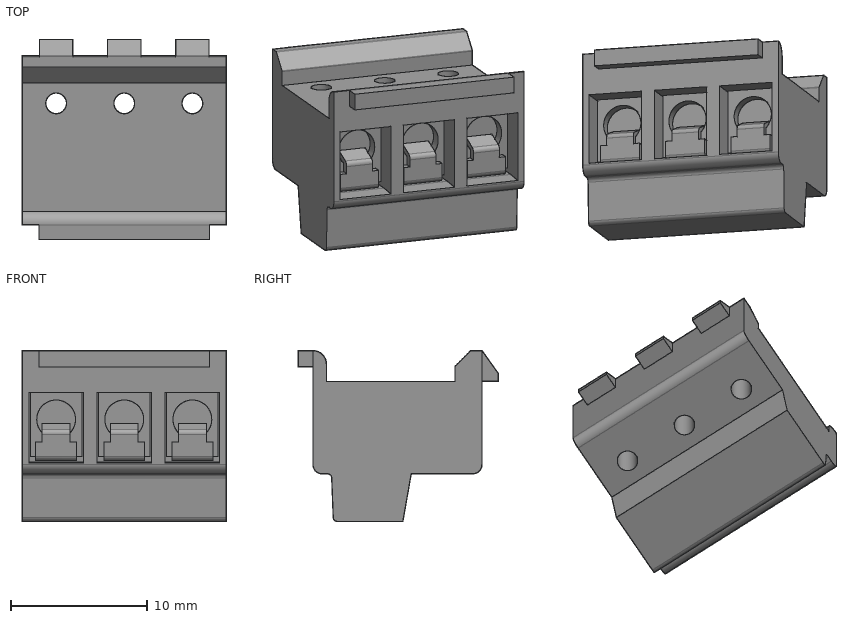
import cadquery as cq
import math


width = 15.0
height = 12.55
body_depth = 12.42
body_bottom_z = 3.5
deck_z = 10.29
bottom_corner_radius = 0.69

front_wall_thickness = 1.0
front_lip_width = 12.54
front_lip_depth = 1.08
front_lip_height = 1.2

rear_rail_thickness = 2.0
rear_rail_chamfer = 1.17
rail_edge_radius = 0.08
rail_inner_y = body_depth - rear_rail_thickness
rail_slope_top_y = rail_inner_y + rear_rail_chamfer
rail_slope_bottom_z = height - rear_rail_chamfer

foot_front_top_y = 1.36
foot_front_bottom_y = 1.5
foot_rear_bottom_y = 6.62
foot_rear_top_y = 7.23
foot_root_radius = 0.3
foot_toe_radius = 0.32

pole_count = 3
pole_pitch = width / pole_count
pole_centers = [(i - (pole_count - 1) / 2) * pole_pitch for i in range(pole_count)]

screw_hole_diameter = 1.5
screw_hole_y = 8.92

clip_width = 2.46
clip_depth = 1.2
clip_tip_height = 0.58
clip_edge_radius = 0.1

pocket_width = 4.0
pocket_depth = 2.75
pocket_top_z = 9.46
pocket_front_floor_z = 4.3
pocket_rear_floor_z = 4.38
pocket_ramp_depth = 1.44

block_width = 3.8
block_front_y = 1.8
block_bottom_z = 4.78
entry_diameter = 2.85
entry_z = 7.5

contact_front_y = 1.2
base_width = 3.0
base_bottom_z = 4.47
base_bottom_radius = 0.32
shoulder_z = 5.85
tongue_width = 2.05
tongue_end_z = 7.22
tongue_angle = 19.5
tongue_nose_radius = 0.39


def extrude_across(profile, x_center, span):
    """Extrude a closed Y-Z profile along X, centred on x_center."""
    return profile.extrude(span / 2, both=True).translate((x_center, 0, 0))


def make_box(x_center, span, y_start, y_end, z_start, z_end):
    """Box centred on x_center between the given Y and Z limits."""
    size = (span, y_end - y_start, z_end - z_start)
    return cq.Workplane("XY").box(*size, centered=(True, False, False)).translate((x_center, y_start, z_start))


def make_body():
    """Main profile with foot, front wall and rear rail, run over the full width."""
    profile = (
        cq.Workplane("YZ")
        .moveTo(0, body_bottom_z)
        .lineTo(0, height)
        .radiusArc((front_wall_thickness, height - front_wall_thickness), front_wall_thickness)
        .lineTo(front_wall_thickness, deck_z)
        .lineTo(rail_inner_y, deck_z)
        .lineTo(rail_inner_y, rail_slope_bottom_z)
        .lineTo(rail_slope_top_y, height)
        .lineTo(body_depth, height)
        .lineTo(body_depth, body_bottom_z)
        .lineTo(foot_rear_top_y, body_bottom_z)
        .lineTo(foot_rear_bottom_y, 0)
        .lineTo(foot_front_bottom_y, 0)
        .lineTo(foot_front_top_y, body_bottom_z)
        .close()
    )
    body = extrude_across(profile, 0, width)
    rounded_edges = [
        (0, body_bottom_z, bottom_corner_radius),
        (body_depth, body_bottom_z, bottom_corner_radius),
        (foot_front_top_y, body_bottom_z, foot_root_radius),
        (foot_front_bottom_y, 0, foot_toe_radius),
        (body_depth, height, rail_edge_radius),
        (rail_slope_top_y, height, rail_edge_radius),
        (rail_inner_y, rail_slope_bottom_z, rail_edge_radius),
    ]
    for y, z, radius in rounded_edges:
        body = body.edges(cq.selectors.NearestToPointSelector((0, y, z))).fillet(radius)
    return body


def make_front_lip():
    """Bar along the top of the front face."""
    return make_box(0, front_lip_width, -front_lip_depth, 0, height - front_lip_height, height)


def make_clip(x_center):
    """Wedge on the rear face, rooted in the rear rail and rounded where its slope meets the rail top."""
    root_y = rail_slope_top_y + rail_edge_radius
    profile = (
        cq.Workplane("YZ")
        .moveTo(root_y, deck_z)
        .lineTo(body_depth + clip_depth, deck_z)
        .lineTo(body_depth + clip_depth, deck_z + clip_tip_height)
        .lineTo(body_depth, height)
        .lineTo(root_y, height)
        .close()
    )
    clip = extrude_across(profile, x_center, clip_width)
    top_edge = cq.selectors.NearestToPointSelector((x_center, body_depth, height))
    return clip.edges(top_edge).fillet(clip_edge_radius)


def make_screw_hole(x_center):
    """Through-hole from the deck down to the underside of the body."""
    hole = cq.Workplane("XY").circle(screw_hole_diameter / 2).extrude(height)
    return hole.translate((x_center, screw_hole_y, 0))


def make_pocket(x_center):
    """Rectangular pocket whose floor rises slightly before it levels out."""
    profile = (
        cq.Workplane("YZ")
        .moveTo(0, pocket_front_floor_z)
        .lineTo(pocket_ramp_depth, pocket_rear_floor_z)
        .lineTo(pocket_depth, pocket_rear_floor_z)
        .lineTo(pocket_depth, pocket_top_z)
        .lineTo(0, pocket_top_z)
        .close()
    )
    return extrude_across(profile, x_center, pocket_width)


def make_clamp_block(x_center):
    """Block on the back wall of the pocket, bored through by the wire entry."""
    block = make_box(x_center, block_width, block_front_y, pocket_depth, block_bottom_z, pocket_top_z)
    entry = (
        cq.Workplane("XZ")
        .center(x_center, entry_z)
        .circle(entry_diameter / 2)
        .extrude(-pocket_depth)
    )
    return block.cut(entry)


def make_contact(x_center):
    """Contact base with a rounded lower edge, and a tongue sloping up to the back wall of the pocket."""
    base = (
        make_box(x_center, base_width, contact_front_y, pocket_depth, base_bottom_z, shoulder_z)
        .edges("|X and <Y and <Z")
        .fillet(base_bottom_radius)
    )
    tongue_rise = (pocket_depth - contact_front_y) * math.tan(math.radians(tongue_angle))
    tongue_front_z = tongue_end_z - tongue_rise
    tongue_profile = (
        cq.Workplane("YZ")
        .moveTo(contact_front_y, shoulder_z)
        .lineTo(contact_front_y, tongue_front_z)
        .lineTo(pocket_depth, tongue_end_z)
        .lineTo(pocket_depth, shoulder_z)
        .close()
    )
    tongue_nose = cq.selectors.NearestToPointSelector((x_center, contact_front_y, tongue_front_z))
    tongue = extrude_across(tongue_profile, x_center, tongue_width).edges("|X").edges(tongue_nose)
    return base.union(tongue.fillet(tongue_nose_radius))


result = make_body().union(make_front_lip())
for x in pole_centers:
    result = (
        result.union(make_clip(x))
        .cut(make_screw_hole(x))
        .cut(make_pocket(x))
        .union(make_clamp_block(x))
        .union(make_contact(x))
    )